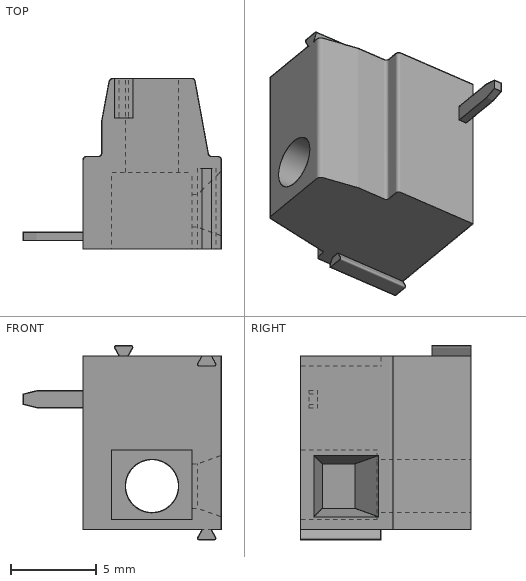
import cadquery as cq

WIDTH = 8.1
DEPTH = 10.0
HEIGHT = 10.17
SHOULDER_Y = 5.43
NECK_LEFT_X = 1.09
NECK_RIGHT_X = 7.37
NECK_BEND_Y = 7.49
CROWN_LEFT_X = 1.55
CROWN_RIGHT_X = 6.53
CORNER_RADIUS = 0.2
CROWN_LEFT_RADIUS = 0.28

PIN_LENGTH = 3.5
PIN_WIDTH = 1.0
PIN_TIP_WIDTH = 0.6
PIN_TAPER_LENGTH = 0.8
PIN_THICKNESS = 0.5
PIN_FRONT_Y = 0.5
PIN_CENTER_Z = 7.63
PIN_EMBED = 0.46

POCKET_CENTER_X = 4.04
POCKET_WIDTH = 4.71
POCKET_HEIGHT = 4.07
POCKET_FLOOR_Z = 0.59
POCKET_DEPTH = 4.48
HOLE_DIAMETER = 3.1
HOLE_CENTER_Z = 2.55

WINDOW_LENGTH = 1.9
WINDOW_HEIGHT = 2.6
WINDOW_LIP = 0.3
WINDOW_FLARE = 0.5
WINDOW_REAR_FLARE = 1.39

DOVETAIL_HEIGHT = 0.59
DOVETAIL_NECK = 0.55
DOVETAIL_HEAD = 1.2
DOVETAIL_RADIUS = 0.09
UPPER_KEY_X = 2.38
UPPER_KEY_LENGTH = 2.31
LOWER_KEY_X = 7.24
LOWER_KEY_LENGTH = 4.71


def make_housing():
    """Stepped outline with a tapered neck, extruded over the full height."""
    outline = [
        (0, 0),
        (WIDTH, 0),
        (WIDTH, SHOULDER_Y),
        (NECK_RIGHT_X, SHOULDER_Y),
        (CROWN_RIGHT_X, DEPTH),
        (CROWN_LEFT_X, DEPTH),
        (NECK_LEFT_X, NECK_BEND_Y),
        (NECK_LEFT_X, SHOULDER_Y),
        (0, SHOULDER_Y),
    ]
    body = cq.Workplane("XY").polyline(outline).close().extrude(HEIGHT)

    def upright_edge(corner):
        return cq.selectors.NearestToPointSelector((*corner, HEIGHT / 2))

    shoulder_corners = [
        (WIDTH, SHOULDER_Y),
        (NECK_RIGHT_X, SHOULDER_Y),
        (NECK_LEFT_X, SHOULDER_Y),
        (0, SHOULDER_Y),
    ]
    for corner in shoulder_corners + [(CROWN_RIGHT_X, DEPTH)]:
        body = body.edges("|Z").edges(upright_edge(corner)).fillet(CORNER_RADIUS)
    crown_left = upright_edge((CROWN_LEFT_X, DEPTH))
    return body.edges("|Z").edges(crown_left).fillet(CROWN_LEFT_RADIUS)


def make_pin():
    """Flat pin with a tapered tip, rooted inside the left wall."""
    taper_start = PIN_TAPER_LENGTH - PIN_LENGTH
    outline = [
        (PIN_EMBED, PIN_WIDTH / 2),
        (taper_start, PIN_WIDTH / 2),
        (-PIN_LENGTH, PIN_TIP_WIDTH / 2),
        (-PIN_LENGTH, -PIN_TIP_WIDTH / 2),
        (taper_start, -PIN_WIDTH / 2),
        (PIN_EMBED, -PIN_WIDTH / 2),
    ]
    plane = cq.Workplane("XZ", origin=(0, PIN_FRONT_Y, PIN_CENTER_Z))
    return plane.polyline(outline).close().extrude(-PIN_THICKNESS)


def make_dovetail(neck_x, neck_y, neck_z, length, direction):
    """Dovetail along +Y, widening upward (direction 1) or downward (-1)."""
    head_z = direction * DOVETAIL_HEIGHT
    outline = [
        (-DOVETAIL_NECK / 2, 0),
        (-DOVETAIL_HEAD / 2, head_z),
        (DOVETAIL_HEAD / 2, head_z),
        (DOVETAIL_NECK / 2, 0),
    ]
    bar = cq.Workplane("XZ", origin=(neck_x, neck_y, neck_z)).polyline(outline).close().extrude(-length)
    head_face = ">Z" if direction > 0 else "<Z"
    return bar.faces(head_face).edges("|Y").fillet(DOVETAIL_RADIUS)


def make_pocket():
    """Rectangular pocket from the front, with the round hole to the back."""
    pocket_center_z = POCKET_FLOOR_Z + POCKET_HEIGHT / 2
    pocket = (
        cq.Workplane("XZ", origin=(POCKET_CENTER_X, 0, pocket_center_z))
        .rect(POCKET_WIDTH, POCKET_HEIGHT)
        .extrude(-POCKET_DEPTH)
    )
    hole = (
        cq.Workplane("XZ", origin=(POCKET_CENTER_X, 0, HOLE_CENTER_Z))
        .circle(HOLE_DIAMETER / 2)
        .extrude(-DEPTH)
    )
    return pocket.union(hole)


def make_window():
    """Straight lip next to the pocket, then a flare to the right face, widest at the rear."""
    wall_x = POCKET_CENTER_X + POCKET_WIDTH / 2
    flare_x = wall_x + WINDOW_LIP
    center_y = POCKET_DEPTH / 2
    mouth_length = WINDOW_LENGTH + WINDOW_FLARE + WINDOW_REAR_FLARE
    mouth_shift = (WINDOW_REAR_FLARE - WINDOW_FLARE) / 2
    straight = (
        cq.Workplane("YZ", origin=(POCKET_CENTER_X, center_y, HOLE_CENTER_Z))
        .rect(WINDOW_LENGTH, WINDOW_HEIGHT)
        .extrude(flare_x - POCKET_CENTER_X)
    )
    flare = (
        cq.Workplane("YZ", origin=(flare_x, center_y, HOLE_CENTER_Z))
        .rect(WINDOW_LENGTH, WINDOW_HEIGHT)
        .workplane(offset=WIDTH - flare_x)
        .center(mouth_shift, 0)
        .rect(mouth_length, WINDOW_HEIGHT + 2 * WINDOW_FLARE)
        .loft(ruled=True)
    )
    return straight.union(flare)


upper_key = make_dovetail(UPPER_KEY_X, DEPTH - UPPER_KEY_LENGTH, HEIGHT, UPPER_KEY_LENGTH, 1)
lower_key = make_dovetail(LOWER_KEY_X, 0, 0, LOWER_KEY_LENGTH, -1)
keyway = make_dovetail(LOWER_KEY_X, 0, HEIGHT, LOWER_KEY_LENGTH, -1)

result = (
    make_housing()
    .cut(make_pocket())
    .cut(make_window())
    .cut(keyway)
    .union(make_pin())
    .union(upper_key)
    .union(lower_key)
)